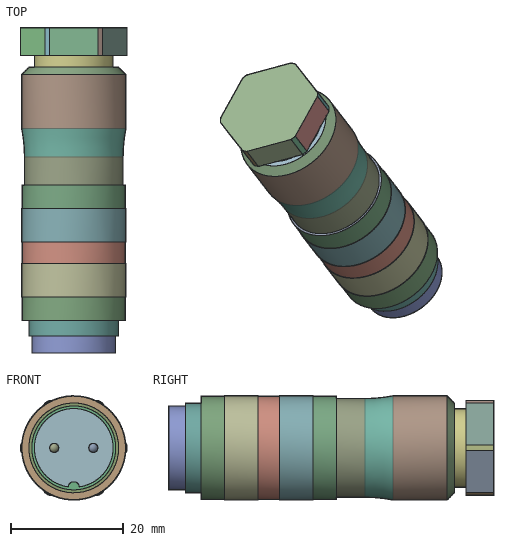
import cadquery as cq

length = 58.0
rim_end = 3.0
collar_end = 5.8
first_band_start = 10.0
second_band_start = 19.8
band_width = 6.0
waist_start = 29.9
flare_start = 35.0
flare_end = 40.0
shoulder_start = 49.65
shoulder_end = 51.0
nut_start = 53.0

rim_radius = 7.5
collar_radius = 8.0
grip_radius = 9.2
band_radius = 18.6 / 2
waist_radius = 8.8
shoulder_radius = 7.95
neck_radius = 7.0

socket_radius = 7.0
socket_depth = 8.0
pin_radius = 0.8
pin_offset = 3.5
pin_setback = 0.2
key_radius = 1.0

nut_across_flats = 16.95
nut_corner_diameter = 19.0

front_y = -length / 2


def cylinder(radius, start, end, x=0, z=0):
    """Cylinder along Y between two distances from the front end."""
    plane = cq.Workplane("XZ", origin=(x, front_y + start, z))
    return plane.circle(radius).extrude(start - end)


def make_flare():
    """Concave transition that leaves the waist tangentially and widens to the rear sleeve."""
    step = band_radius - waist_radius
    run = flare_end - flare_start
    flare_radius = (run**2 + step**2) / (2 * step)
    profile = (
        cq.Workplane("XY")
        .moveTo(0, front_y + flare_start)
        .lineTo(waist_radius, front_y + flare_start)
        .radiusArc((band_radius, front_y + flare_end), flare_radius)
        .lineTo(0, front_y + flare_end)
        .close()
    )
    return profile.revolve(360, (0, 0), (0, 1))


def make_shoulder():
    """Conical shoulder between the rear sleeve and the neck."""
    profile = [
        (0, front_y + shoulder_start),
        (band_radius, front_y + shoulder_start),
        (shoulder_radius, front_y + shoulder_end),
        (0, front_y + shoulder_end),
    ]
    return cq.Workplane("XY").polyline(profile).close().revolve(360, (0, 0), (0, 1))


def make_body():
    body = cylinder(rim_radius, 0, rim_end)
    body = body.union(cylinder(collar_radius, rim_end, collar_end))
    body = body.union(cylinder(grip_radius, collar_end, waist_start))
    for start in (first_band_start, second_band_start):
        body = body.union(cylinder(band_radius, start, start + band_width))
    body = body.union(cylinder(waist_radius, waist_start, flare_start))
    body = body.union(make_flare())
    body = body.union(cylinder(band_radius, flare_end, shoulder_start))
    body = body.union(make_shoulder())
    return body.union(cylinder(neck_radius, shoulder_end, nut_start))


def make_nut():
    hexagon = (
        cq.Workplane("XZ", origin=(0, front_y + nut_start, 0))
        .transformed(rotate=(0, 0, 30))
        .polygon(6, nut_across_flats, circumscribed=True)
        .extrude(nut_start - length)
    )
    return hexagon.intersect(cylinder(nut_corner_diameter / 2, nut_start, length))


def make_pin(x):
    """Contact pin with a hemispherical tip, rooted in the socket floor."""
    tip_center = pin_setback + pin_radius
    tip = cq.Workplane("XY").sphere(pin_radius).translate((x, front_y + tip_center, 0))
    return cylinder(pin_radius, tip_center, socket_depth + pin_radius, x).union(tip)


def make_key():
    """Half-round key on the socket wall, trimmed to stay inside the rim."""
    ridge = cylinder(key_radius, 0, socket_depth, z=-socket_radius)
    return ridge.intersect(cylinder(rim_radius, 0, socket_depth))


result = make_body().union(make_nut())
result = result.cut(cylinder(socket_radius, 0, socket_depth))
for pin_x in (-pin_offset, pin_offset):
    result = result.union(make_pin(pin_x))
result = result.union(make_key())